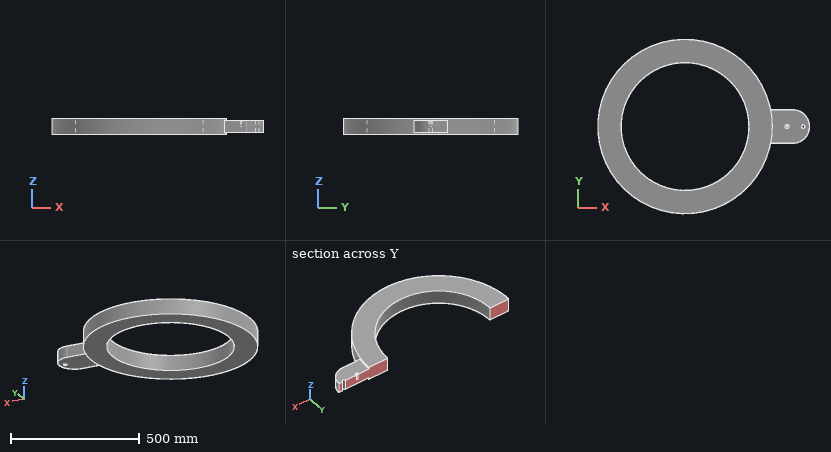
import cadquery as cq

ring_outer_diameter = 680.0
ring_inner_diameter = 497.0
ring_height = 63.5

overall_length = 825.0
tab_width = 132.0
tab_thickness = 48.0
tab_tip_x = overall_length - ring_outer_diameter / 2
tab_end_center_x = tab_tip_x - tab_width / 2

through_hole_inset = 25.0
through_hole_diameter = 12.0
through_hole_x = tab_tip_x - through_hole_inset
blind_hole_inset = 88.0
blind_hole_x = tab_tip_x - blind_hole_inset
blind_hole_diameter = 5.0
blind_hole_depth = tab_thickness / 2
counterbore_diameter = 16.5
counterbore_depth = 2.5


def disc(diameter, height, x=0):
    """Upright cylinder centred on the X axis at the given x."""
    return cq.Workplane("XY").center(x, 0).circle(diameter / 2).extrude(height / 2, both=True)


def make_tab():
    """Bar from the ring axis to a fully rounded tip."""
    bar = cq.Workplane("XY").box(tab_end_center_x, tab_width, tab_thickness, centered=(False, True, True))
    return bar.union(disc(tab_width, tab_thickness, tab_end_center_x))


def cut_counterbored_hole(body):
    """Narrow blind hole with a shallow counterbore, sunk into the top of the tab."""
    tab_top = cq.Workplane("XY", origin=(blind_hole_x, 0, tab_thickness / 2))
    hole = tab_top.circle(blind_hole_diameter / 2).extrude(-blind_hole_depth)
    counterbore = tab_top.circle(counterbore_diameter / 2).extrude(-counterbore_depth)
    return body.cut(hole).cut(counterbore)


body = disc(ring_outer_diameter, ring_height).union(make_tab())
body = body.cut(disc(ring_inner_diameter, ring_height))
body = body.cut(disc(through_hole_diameter, tab_thickness, through_hole_x))
result = cut_counterbored_hole(body)